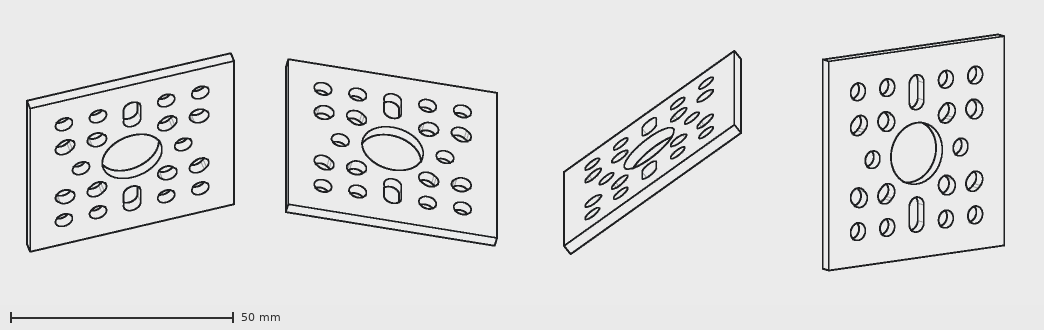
import cadquery as cq
import math

plate_side = 48.0
plate_thickness = 2.5

bore_diameter = 14.0
hole_diameter = 4.0

inner_offset = 8.0
outer_offset = 2 * inner_offset
side_hole_offset = 1.5 * inner_offset

slot_length = 2 * hole_diameter
slot_centre = outer_offset + hole_diameter / 2 - slot_length / 2

diagonal_shift = 0.55
diagonal_length = hole_diameter + math.hypot(diagonal_shift, diagonal_shift)

signs = (-1, 1)


def cut_slots(body, centres, length, angle):
    """Cut through slots at the given (Y, Z) centres, angle measured from +Y."""
    return (
        body.faces(">X").workplane(origin=(0, 0, 0))
        .pushPoints(centres)
        .slot2D(length, hole_diameter, angle)
        .cutThruAll()
    )


plate = cq.Workplane("YZ").rect(plate_side, plate_side).extrude(plate_thickness / 2, both=True)

plate = plate.faces(">X").workplane(origin=(0, 0, 0)).hole(bore_diameter)

round_holes = [(sign * side_hole_offset, 0) for sign in signs]
for y_sign in signs:
    for z_sign in signs:
        for column in (inner_offset, outer_offset):
            round_holes.append((y_sign * column, z_sign * outer_offset))
plate = (
    plate.faces(">X").workplane(origin=(0, 0, 0))
    .pushPoints(round_holes)
    .hole(hole_diameter)
)

plate = cut_slots(plate, [(0, sign * slot_centre) for sign in signs], slot_length, 90)

half_shift = diagonal_shift / 2
for y_sign in signs:
    for z_sign in signs:
        slot_z = z_sign * (inner_offset + half_shift)
        inner_centre = (y_sign * (inner_offset + half_shift), slot_z)
        outer_centre = (y_sign * (outer_offset - half_shift), slot_z)
        lean = 45 * y_sign * z_sign
        plate = cut_slots(plate, [inner_centre], diagonal_length, lean)
        plate = cut_slots(plate, [outer_centre], diagonal_length, -lean)

result = plate